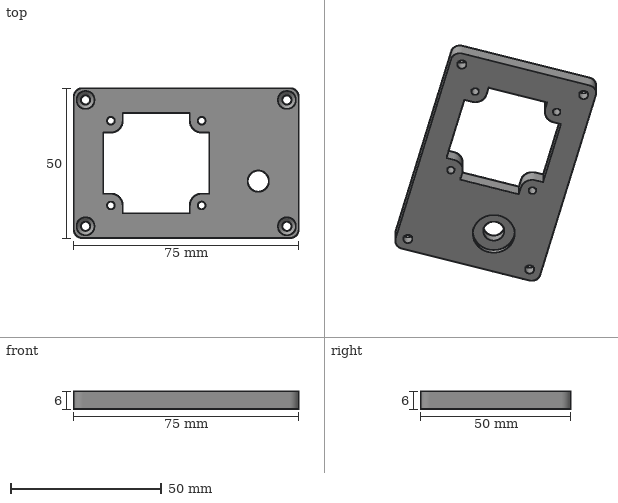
import cadquery as cq

length = 75
width = 50.0
thickness = 6
corner_radius = 3

screw_inset = 4.0
screw_diameter = 3
countersink_diameter = 6
countersink_angle = 90

window_center_x = -10.0
window_length = 35.25
window_width = 33.4
ear_radius = 4.0
ear_hole_diameter = 2.5
ear_spacing_x = 30.2
ear_spacing_y = 28.2

port_x = 24
port_y = -6
port_diameter = 7.0
port_lip_thickness = 4.0
port_recess_diameter = 13.95


def make_block(size_x, size_y, edge_radius):
    """Full-thickness block with rounded vertical edges, its underside at Z = 0."""
    block = cq.Workplane("XY").box(size_x, size_y, thickness, centered=(True, True, False))
    return block.edges("|Z").fillet(edge_radius)


def make_ear(side_x, side_y):
    """Rounded block whose inner corner arc is centred on one ear hole.

    It extends outward past the window, so only the inner corner shapes the opening.
    """
    ear_size = 4 * ear_radius
    center_x = window_center_x + side_x * (ear_spacing_x / 2 + ear_radius)
    center_y = side_y * (ear_spacing_y / 2 + ear_radius)
    return make_block(ear_size, ear_size, ear_radius).translate((center_x, center_y, 0))


def make_window():
    """Through-window volume: a rectangle less the four corner ears."""
    window = (
        cq.Workplane("XY")
        .center(window_center_x, 0)
        .rect(window_length, window_width)
        .extrude(thickness)
    )
    for side_x in (-1, 1):
        for side_y in (-1, 1):
            window = window.cut(make_ear(side_x, side_y))
    return window


result = make_block(length, width, corner_radius).cut(make_window())

result = (
    result.faces(">Z")
    .workplane(origin=(0, 0, thickness))
    .rarray(length - 2 * screw_inset, width - 2 * screw_inset, 2, 2)
    .cskHole(screw_diameter, countersink_diameter, countersink_angle)
)

result = (
    result.faces(">Z")
    .workplane(origin=(window_center_x, 0, thickness))
    .rarray(ear_spacing_x, ear_spacing_y, 2, 2)
    .hole(ear_hole_diameter)
)

result = (
    result.faces(">Z")
    .workplane(origin=(port_x, port_y, thickness))
    .hole(port_diameter)
)
port_recess = (
    cq.Workplane("XY")
    .center(port_x, port_y)
    .circle(port_recess_diameter / 2)
    .extrude(thickness - port_lip_thickness)
)
result = result.cut(port_recess)